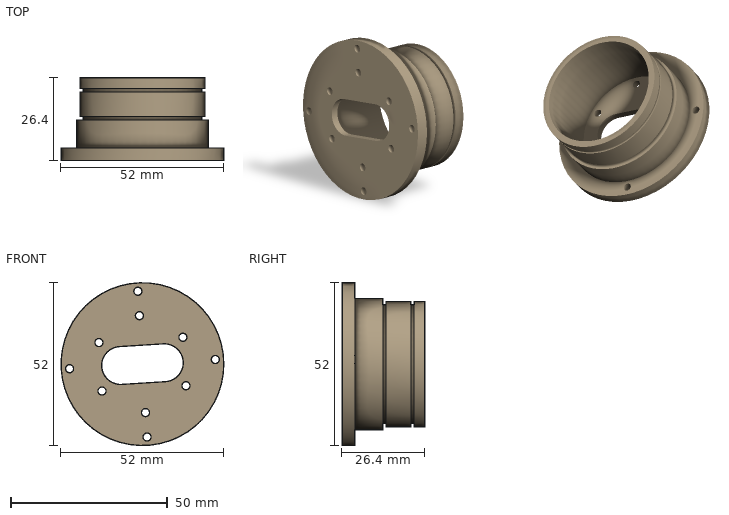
import cadquery as cq

total_length = 26.4
flange_radius = 26.0
flange_thickness = 4.05
shoulder_radius = 21.0
shoulder_end = 13.0
barrel_radius = 20.0

groove_radius = 19.0
groove_width = 1.0
groove_starts = (shoulder_end, 21.95)

bore_radius = 18.0
floor_thickness = 2.5

tilt_angle = 3.6
slot_length = 26.0
slot_width = 12.0
hole_diameter = 2.5
inner_circle_radius = 15.5
inner_hole_count = 6
outer_circle_radius = 23.3
outer_hole_count = 4


def disc(radius, start, end):
    """Solid cylinder along +Y between two distances from the mounting face."""
    return cq.Workplane("XZ", origin=(0, start, 0)).circle(radius).extrude(start - end)


def face_plane():
    """Mounting face, turned so that its local x axis follows the slot."""
    return cq.Workplane("XZ").transformed(rotate=(0, 0, tilt_angle))


def screw_holes(circle_radius, count, start_angle):
    """Cutters for evenly spaced through holes on one bolt circle."""
    return (
        face_plane()
        .polarArray(circle_radius, start_angle, 360, count)
        .circle(hole_diameter / 2)
        .extrude(-total_length)
    )


body = disc(flange_radius, 0, flange_thickness)
body = body.union(disc(shoulder_radius, flange_thickness, shoulder_end))
body = body.union(disc(barrel_radius, shoulder_end, total_length))

for start in groove_starts:
    end = start + groove_width
    ring = disc(barrel_radius, start, end).cut(disc(groove_radius, start, end))
    body = body.cut(ring)

body = body.cut(disc(bore_radius, floor_thickness, total_length))

slot = face_plane().slot2D(slot_length, slot_width).extrude(-floor_thickness)
body = body.cut(slot)

body = body.cut(screw_holes(inner_circle_radius, inner_hole_count, 30))
body = body.cut(screw_holes(outer_circle_radius, outer_hole_count, 0))

result = body